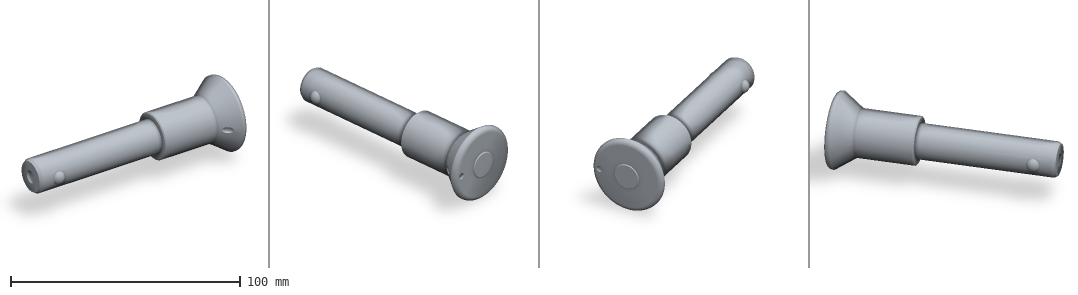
import cadquery as cq


total_length = 102.6
shank_length = 63.2

shank_diameter = 16.0
tip_chamfer_length = 1.4
tip_chamfer_depth = 0.8
tip_hole_diameter = 6.0
tip_hole_depth = 6.0

ball_diameter = 6.5
ball_reach = 9.7
ball_from_tip = 9.8

sleeve_diameter = 22.0
sleeve_length = 26.9
sleeve_chamfer = 0.5

knob_diameter = 35.0
button_diameter = 12.0
button_height = 0.5
button_edge_radius = 0.4
rim_thickness = 2.7
rim_radius = 2.3

lanyard_hole_diameter = 3.0
lanyard_hole_offset = 13.6

tip_y = -shank_length
button_y = total_length - shank_length
knob_top_y = button_y - button_height
rim_y = knob_top_y - rim_thickness
shank_radius = shank_diameter / 2
sleeve_radius = sleeve_diameter / 2
knob_radius = knob_diameter / 2
button_radius = button_diameter / 2


def make_body():
    """Revolve the shank, sleeve and flared knob as one profile."""
    profile = (
        cq.Workplane("XY")
        .moveTo(0, tip_y)
        .lineTo(shank_radius - tip_chamfer_depth, tip_y)
        .lineTo(shank_radius, tip_y + tip_chamfer_length)
        .lineTo(shank_radius, 0)
        .lineTo(sleeve_radius - sleeve_chamfer, 0)
        .lineTo(sleeve_radius, sleeve_chamfer)
        .lineTo(sleeve_radius, sleeve_length)
        .lineTo(knob_radius, rim_y)
        .lineTo(knob_radius, knob_top_y - rim_radius)
        .radiusArc((knob_radius - rim_radius, knob_top_y), -rim_radius)
        .lineTo(button_radius, knob_top_y)
        .lineTo(button_radius, button_y - button_edge_radius)
        .radiusArc((button_radius - button_edge_radius, button_y), -button_edge_radius)
        .lineTo(0, button_y)
        .close()
    )
    return profile.revolve(360, (0, 0, 0), (0, 1, 0))


def cylinder_along_y(diameter, start_y, end_y, x=0):
    """Cylinder parallel to the pin axis."""
    return cq.Workplane("XZ", origin=(x, start_y, 0)).circle(diameter / 2).extrude(start_y - end_y)


def make_ball(side):
    """Locking ball standing out of the shank on the given X side."""
    center_x = side * (ball_reach - ball_diameter / 2)
    return cq.Workplane("XY").sphere(ball_diameter / 2).translate((center_x, tip_y + ball_from_tip, 0))


result = make_body()
for side in (-1, 1):
    result = result.union(make_ball(side))
result = result.cut(cylinder_along_y(tip_hole_diameter, tip_y, tip_y + tip_hole_depth))
result = result.cut(
    cylinder_along_y(lanyard_hole_diameter, sleeve_length, button_y, lanyard_hole_offset)
)